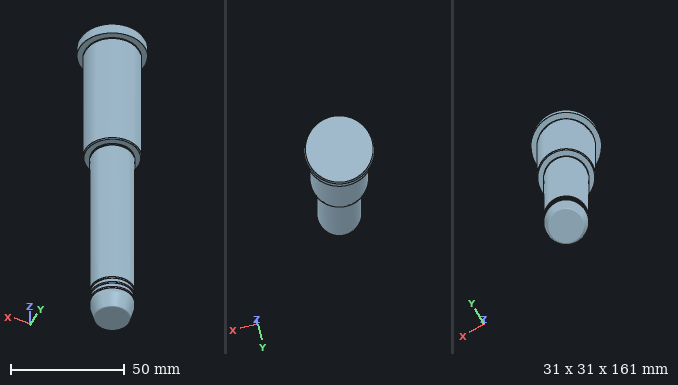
import cadquery as cq
import math

total_height = 161.0

head_diameter = 31.0
head_height = 6.0
head_chamfer = 0.6

body_diameter = 26.0
body_bottom = 95.0
body_chamfer = 0.5
neck_height = 0.5
neck_inset = body_chamfer

shank_diameter = 20.0
shank_relief_width = 1.0
shank_relief_depth = 0.3

groove_count = 3
groove_width = 1.0
groove_depth = 0.3
groove_pitch = 2.9
lowest_groove_bottom = 9.2

taper_height = 7.1
taper_angle = 15.0
tip_fillet = 0.6


def cylinder(diameter, bottom, top):
    """Solid cylinder on the Z axis between two heights."""
    return cq.Workplane("XY").workplane(offset=bottom).circle(diameter / 2).extrude(top - bottom)


def ring_cut(diameter, bottom, width, depth):
    """Ring that cuts a groove of the given depth into a cylinder."""
    outer = cylinder(diameter + 2 * depth, bottom, bottom + width)
    return outer.cut(cylinder(diameter - 2 * depth, bottom, bottom + width))


def make_head():
    head = cylinder(head_diameter, total_height - head_height, total_height)
    return head.faces(">Z").edges().chamfer(head_chamfer)


def make_body():
    neck_top = total_height - head_height
    body_top = neck_top - neck_height
    body = cylinder(body_diameter, body_bottom, body_top)
    body = body.faces("<Z or >Z").edges().chamfer(body_chamfer)
    neck = cylinder(body_diameter - 2 * neck_inset, body_top, neck_top)
    return body.union(neck)


def make_tip():
    shank_radius = shank_diameter / 2
    tip_radius = shank_radius - taper_height * math.tan(math.radians(taper_angle))
    tip = (
        cq.Workplane("XZ")
        .polyline([(0, 0), (tip_radius, 0), (shank_radius, taper_height), (0, taper_height)])
        .close()
        .revolve(360, (0, 0, 0), (0, 1, 0))
    )
    return tip.faces("<Z").edges().fillet(tip_fillet)


def vee_cut(bottom):
    """Ring of triangular section that cuts one V-shaped groove into the shank."""
    shank_radius = shank_diameter / 2
    outer_radius = shank_radius + groove_depth
    root_radius = shank_radius - groove_depth
    middle = bottom + groove_width / 2
    return (
        cq.Workplane("XZ")
        .polyline([
            (outer_radius, middle - groove_width),
            (root_radius, middle),
            (outer_radius, middle + groove_width),
        ])
        .close()
        .revolve(360, (0, 0, 0), (0, 1, 0))
    )


def make_shank():
    shank = cylinder(shank_diameter, taper_height, body_bottom)
    relief_bottom = body_bottom - shank_relief_width
    shank = shank.cut(ring_cut(shank_diameter, relief_bottom, shank_relief_width, shank_relief_depth))
    for index in range(groove_count):
        groove_bottom = lowest_groove_bottom + index * groove_pitch
        shank = shank.cut(vee_cut(groove_bottom))
    return shank


result = make_tip().union(make_shank()).union(make_body()).union(make_head())